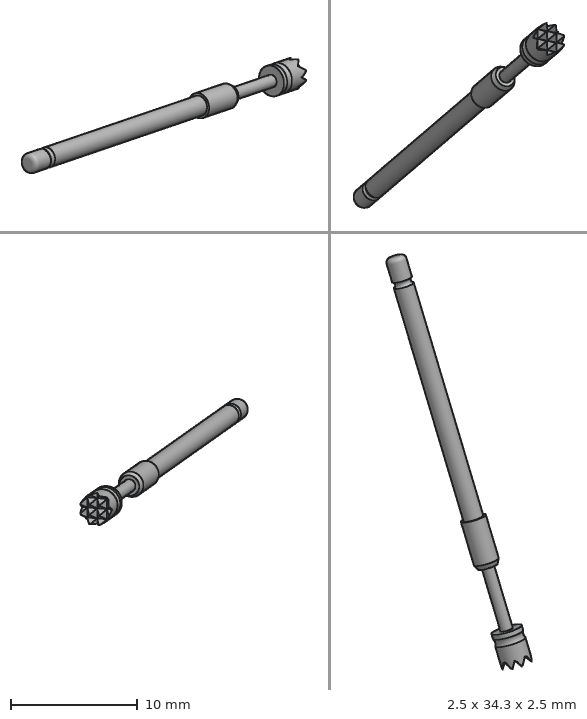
import cadquery as cq
import math

total_length = 34.3
head_end_y = total_length / 2
tail_end_y = -total_length / 2

head_diameter = 2.5
head_radius = head_diameter / 2
head_length = 3.02
head_groove_start = 2.0
head_groove_width = 0.62
head_groove_depth = 0.085

tooth_pitch = 0.82
tooth_depth = 0.7
grooves_each_side = 1
groove_length = 3 * head_radius
tip_clearance = 0.17

plunger_radius = 0.5
collar_radius = 1.03
collar_start = 8.3
collar_length = 4.05
collar_nose_radius = 0.82
collar_nose_length = 0.4

barrel_radius = 0.82
tail_groove_width = 0.5
tail_groove_depth = 0.17
tail_length = 1.92
tail_round = 0.38


def body_of_revolution():
    """Plain turned shape of the whole probe, revolved about Y."""
    groove_y = head_end_y - head_groove_start
    head_back_y = head_end_y - head_length
    collar_y = head_end_y - collar_start
    collar_back_y = collar_y - collar_length
    tail_y = tail_end_y + tail_length
    barrel_end_y = tail_y + tail_groove_width
    round_mid = tail_round * (1 - math.cos(math.radians(45)))
    profile = (
        cq.Workplane("XY")
        .moveTo(0, head_end_y)
        .lineTo(head_radius, head_end_y)
        .lineTo(head_radius, groove_y)
        .threePointArc(
            (head_radius - head_groove_depth, groove_y - head_groove_width / 2),
            (head_radius, groove_y - head_groove_width),
        )
        .lineTo(head_radius, head_back_y)
        .lineTo(plunger_radius, head_back_y)
        .lineTo(plunger_radius, collar_y)
        .lineTo(collar_nose_radius, collar_y)
        .lineTo(collar_radius, collar_y - collar_nose_length)
        .lineTo(collar_radius, collar_back_y)
        .lineTo(barrel_radius, collar_back_y)
        .lineTo(barrel_radius, barrel_end_y)
        .threePointArc(
            (barrel_radius - tail_groove_depth, tail_y + tail_groove_width / 2),
            (barrel_radius, tail_y),
        )
        .lineTo(barrel_radius, tail_end_y + tail_round)
        .threePointArc(
            (barrel_radius - round_mid, tail_end_y + round_mid),
            (barrel_radius - tail_round, tail_end_y),
        )
        .lineTo(0, tail_end_y)
        .close()
    )
    return profile.revolve(360, (0, 0, 0), (0, 1, 0))


def v_groove(offset):
    """V groove in the head face, running along Z and centred at X = offset."""
    root_y = head_end_y - tooth_depth
    top_y = head_end_y + tip_clearance
    half_width = tooth_pitch / 2 * (top_y - root_y) / tooth_depth
    return (
        cq.Workplane("XY")
        .moveTo(offset, root_y)
        .lineTo(offset + half_width, top_y)
        .lineTo(offset - half_width, top_y)
        .close()
        .extrude(groove_length / 2, both=True)
    )


result = body_of_revolution()
for index in range(-grooves_each_side, grooves_each_side + 1):
    groove = v_groove(index * tooth_pitch)
    crossed_groove = groove.rotate((0, 0, 0), (0, 1, 0), 90)
    result = result.cut(groove).cut(crossed_groove)